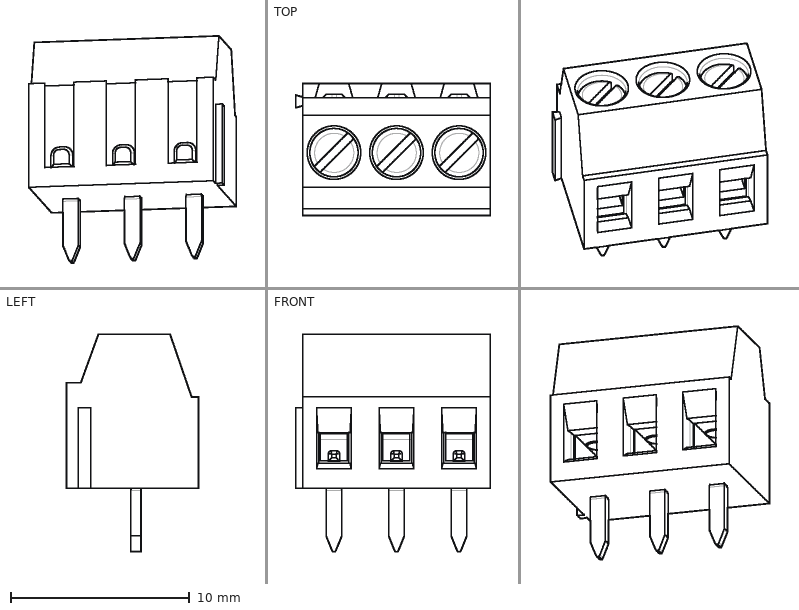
import cadquery as cq
import math

poles = 3
overall_height = 12.2
pitch = 3.5
housing_width = poles * pitch
housing_depth = 7.4
housing_height = 8.64

front_height = 5.12
front_shelf = 0.39
top_front = 1.6
top_rear = 5.61
ledge_front = 6.6
ledge_height = 5.92

key_reach = 0.39
key_height = 4.51
key_middle = 6.39
key_root = 0.5
key_tip = 0.72

rear_slot_floor = 1.1
rear_slot_inner_width = 2.1
rear_slot_outer_width = 1.65

sill = 1.1
entry_width = 1.95
entry_height = 3.42
funnel_depth = 0.54
channel_floor = sill + 0.3
channel_ceiling = sill + 2.01
entry_depth = 0.9

chamber_width = 1.68
chamber_floor = 0.55
rear_wall = 0.3
chamber_rear = ledge_front - rear_wall
chamber_fillet = 0.37

bump_height = 1.8
bump_core_width = 0.27
bump_core_height = 0.22
bump_rise = 0.18
bump_draft = 45

cage_front = 1.48
cage_bottom = 0.96
cage_opening_width = 1.51
cage_opening_floor = sill + 0.44
cage_top_wall = 0.25
cage_top = channel_ceiling + cage_top_wall

screw_y = 3.53
screw_head_diameter = 2.71
screw_recess = 0.5
screw_head_height = 1.5
screw_edge = 0.26
slot_width = 0.46
slot_depth = 0.63
slot_angle = 45
shank_diameter = 1.5
tip_diameter = 1.4
tip_reach = 0.06
rim_flare = 0.15
rim_depth = 0.2

pin_y = 3.51
pin_width = 0.89
pin_thickness = 0.59
pin_length = overall_height - housing_height
pin_taper_start = 2.67
pin_tip_width = 0.12
pin_bevel_width = 0.25
pin_bevel_height = 0.1
pin_neck = 0.12
pin_neck_draft = 6

cage_depth = 2 * (screw_y - cage_front)
head_top = housing_height - screw_recess
head_bottom = head_top - screw_head_height
tip_bottom = channel_ceiling - tip_reach
pole_centers = [(number + 0.5) * pitch for number in range(poles)]


def block(x_center, width, y_start, y_end, z_start, z_end):
    """Box centred on x_center between the given Y and Z limits."""
    return (
        cq.Workplane("XY")
        .box(width, y_end - y_start, z_end - z_start, centered=(True, False, False))
        .translate((x_center, y_start, z_start))
    )


def post(x_center, diameter, z_start, z_end):
    """Vertical cylinder on the screw axis."""
    return (
        cq.Workplane("XY", origin=(x_center, screw_y, z_start))
        .circle(diameter / 2)
        .extrude(z_end - z_start)
    )


def housing_shell():
    profile = [
        (0, 0),
        (housing_depth, 0),
        (housing_depth, ledge_height),
        (ledge_front, ledge_height),
        (top_rear, housing_height),
        (top_front, housing_height),
        (front_shelf, front_height),
        (0, front_height),
    ]
    return cq.Workplane("YZ").polyline(profile).close().extrude(housing_width)


def dovetail_key():
    outline = [
        (0, key_middle - key_root / 2),
        (0, key_middle + key_root / 2),
        (-key_reach, key_middle + key_tip / 2),
        (-key_reach, key_middle - key_tip / 2),
    ]
    return cq.Workplane("XY").polyline(outline).close().extrude(key_height)


def rear_slot(x):
    outline = [
        (x - rear_slot_inner_width / 2, ledge_front),
        (x + rear_slot_inner_width / 2, ledge_front),
        (x + rear_slot_outer_width / 2, housing_depth),
        (x - rear_slot_outer_width / 2, housing_depth),
    ]
    return (
        cq.Workplane("XY", origin=(0, 0, rear_slot_floor))
        .polyline(outline)
        .close()
        .extrude(ledge_height - rear_slot_floor)
    )


def wire_entry(x):
    """Passage with converging sides whose floor and ceiling slope near the front."""
    plan = [
        (x - entry_width / 2, 0),
        (x + entry_width / 2, 0),
        (x + chamber_width / 2, entry_depth),
        (x - chamber_width / 2, entry_depth),
    ]
    side_profile = [
        (0, sill),
        (funnel_depth, channel_floor),
        (entry_depth, channel_floor),
        (entry_depth, channel_ceiling),
        (funnel_depth, channel_ceiling),
        (0, sill + entry_height),
    ]
    converging = cq.Workplane("XY").polyline(plan).close().extrude(housing_height)
    sloped = cq.Workplane("YZ").polyline(side_profile).close().extrude(housing_width)
    return converging.intersect(sloped)


def wire_chamber(x):
    """Space behind the entry with a rounded upper rear edge, taller where it holds the cage."""
    chamber = block(x, chamber_width, entry_depth, chamber_rear, chamber_floor, channel_ceiling)
    chamber = chamber.edges(">Y and >Z").fillet(chamber_fillet)
    return chamber.union(cage_envelope(x))


def screw_hole(x):
    """Bore for the head with a rounded rim, and a smaller one for the shank."""
    bore = post(x, screw_head_diameter, head_bottom, housing_height)
    shank_bore = post(x, shank_diameter, cage_top, head_bottom)
    return bore.union(shank_bore)


def flared_rim(x):
    """Rounded rim that leaves the bore tangentially and widens up to the housing top."""
    bore_radius = screw_head_diameter / 2
    arc_radius = (rim_flare**2 + rim_depth**2) / (2 * rim_flare)
    half_angle = math.asin(rim_depth / arc_radius) / 2
    rim_start = housing_height - rim_depth
    arc_middle = (
        bore_radius + arc_radius * (1 - math.cos(half_angle)),
        rim_start + arc_radius * math.sin(half_angle),
    )
    return (
        cq.Workplane("XZ")
        .moveTo(0, rim_start)
        .lineTo(bore_radius, rim_start)
        .threePointArc(arc_middle, (bore_radius + rim_flare, housing_height))
        .lineTo(0, housing_height)
        .close()
        .revolve(360, (0, 0, 0), (0, 1, 0))
        .translate((x, screw_y, 0))
    )


def rounded_frustum(x, y_base, y_end, end_radius):
    """Bump about Y with 45 degree sides, widening from a rectangular core; its upper corners are conical."""
    base_radius = end_radius + y_end - y_base
    return (
        cq.Workplane("XZ", origin=(x, y_base, bump_height))
        .sketch()
        .rect(bump_core_width + 2 * base_radius, bump_core_height + 2 * base_radius)
        .vertices(">Y")
        .fillet(base_radius)
        .finalize()
        .extrude(y_base - y_end, taper=bump_draft)
    )


def dimple(x):
    return rounded_frustum(x, chamber_rear, chamber_rear + bump_rise, 0)


def boss(x):
    return rounded_frustum(x, ledge_front, ledge_front + bump_rise, rear_wall)


def make_housing():
    housing = housing_shell().union(dovetail_key())
    for x in pole_centers:
        housing = housing.cut(rear_slot(x)).union(boss(x))
        for cavity in (wire_entry, wire_chamber, dimple, screw_hole, flared_rim, make_pin):
            housing = housing.cut(cavity(x))
    return housing


def cage_envelope(x):
    return block(x, chamber_width, cage_front, cage_front + cage_depth, cage_bottom, cage_top)


def make_cage(x):
    opening = block(
        x, cage_opening_width, cage_front, cage_front + cage_depth, cage_opening_floor, channel_ceiling
    )
    screw_passage = post(x, shank_diameter, channel_ceiling, cage_top)
    return cage_envelope(x).cut(opening).cut(screw_passage)


def make_screw(x):
    head = post(x, screw_head_diameter, head_bottom, head_top).faces(">Z").edges().fillet(screw_edge)
    driver_slot = (
        cq.Workplane("XY")
        .box(2 * screw_head_diameter, slot_width, slot_depth, centered=(True, True, False))
        .rotate((0, 0, 0), (0, 0, 1), slot_angle)
        .translate((x, screw_y, head_top - slot_depth))
    )
    shank = post(x, shank_diameter, tip_bottom, head_bottom)
    tip_chamfer = (shank_diameter - tip_diameter) / 2
    shank = shank.faces("<Z").edges().chamfer(tip_chamfer)
    return head.cut(driver_slot).union(shank)


def make_pin(x):
    """Flat pin with a pointed lower end and a slightly narrowing neck up to the cage."""
    bevel_start = pin_bevel_height - pin_length
    half_outline = [
        (0, -pin_neck),
        (pin_width / 2, -pin_neck),
        (pin_width / 2, -pin_taper_start),
        (pin_bevel_width / 2, bevel_start),
        (pin_tip_width / 2, -pin_length),
        (0, -pin_length),
    ]
    blade = (
        cq.Workplane("XZ", origin=(x, pin_y, 0))
        .polyline(half_outline)
        .mirrorY()
        .extrude(pin_thickness / 2, both=True)
    )
    neck = (
        cq.Workplane("XY", origin=(x, pin_y, -pin_neck))
        .rect(pin_width, pin_thickness)
        .extrude(cage_bottom + pin_neck, taper=pin_neck_draft)
    )
    return blade.union(neck)


housing = make_housing()
cages = [make_cage(x) for x in pole_centers]
screws = [make_screw(x) for x in pole_centers]
pins = [make_pin(x) for x in pole_centers]

result = cq.Compound.makeCompound(
    [housing.val()] + [body.val() for body in cages + screws + pins]
)